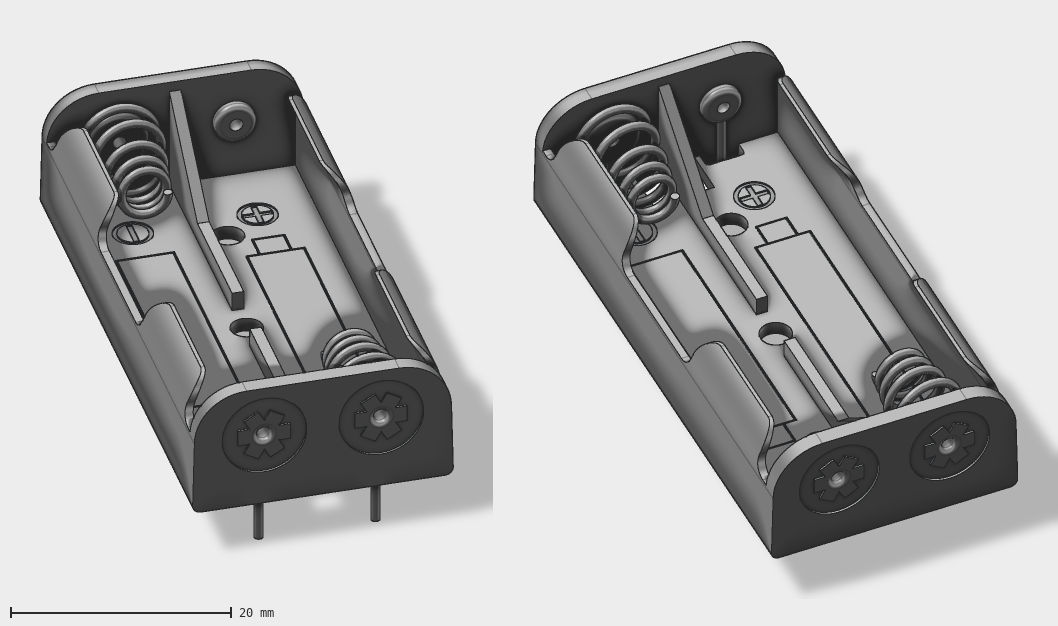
import cadquery as cq
import math


LENGTH = 52.3
BASE_WIDTH = 24.55
SHOULDER_WIDTH = 24.15
HEIGHT = 12.4
SHOULDER_RADIUS = 4.9
BOTTOM_FILLET = 0.8
END_WALL = 1.55
SIDE_WALL = 0.8
FLOOR = 1.35

SHOULDER_Z = HEIGHT - SHOULDER_RADIUS
SHOULDER_Y = SHOULDER_WIDTH / 2 - SHOULDER_RADIUS
INNER_END = LENGTH / 2 - END_WALL
INNER_HALF_WIDTH = SHOULDER_WIDTH / 2 - SIDE_WALL

RIM_Z = 7.85
FLAP_Z = 11.6
FLAP_NEAR_X = 7.6
FLAP_FAR_X = 22.25
FLAP_FOOT_RADIUS = 1.6
FLAP_TIP_RADIUS = FLAP_Z - RIM_Z - FLAP_FOOT_RADIUS
FLAP_TIP_Y = 9.45

RIB_THICKNESS = 1.1
RIB_INNER_X = 3.05
RIB_BEND_X = 14.9
RIB_LOW_Z = 3.25
RIB_HIGH_Z = 11.4

MOUNT_HOLE_DIAMETER = 3.05
MOUNT_HOLE_X = 15.0
MOUNT_HOLE_Y = 2.35
WINDOW_START_X = 20.2
WINDOW_WIDTH = 6.05
PIN_SLOT_START_X = 23.1
PIN_SLOT_WIDTH = 3.85
PIN_SLOT_FILLET = 0.4

ENGRAVE_DEPTH = 0.15
ENGRAVE_WIDTH = 0.15
CELL_LENGTH = 25.1
CELL_WIDTH = 5.55
CELL_NUB_LENGTH = 2.65
CELL_NUB_WIDTH = 3.15
CELL_X = 1.2
CELL_Y = 5.8
MARK_X = 17.7
MARK_Y = 5.85
MARK_RING_OUTER = 1.9
MARK_RING_INNER = 1.45
MARK_BAR_LENGTH = 2.7
MARK_BAR_WIDTH = 0.5

AXIS_Y = 5.5
AXIS_Z = 7.3
RECESS_RADIUS = 4.0
RECESS_DEPTH = 0.25
SHANK_RADIUS = 1.15
BORE_RADIUS = 0.65
HEAD_THICKNESS = 0.95
HEAD_FILLET = 0.5
CONTACT_HEAD_RADIUS = 2.0
SEAT_HEAD_RADIUS = 2.9
PETAL_COUNT = 6
PETAL_REACH = 2.45
PETAL_WIDTH = 1.55
PETAL_THICKNESS = 0.2
SHANK_LENGTH = END_WALL - RECESS_DEPTH
FLARE_RADIUS = SHANK_RADIUS - BORE_RADIUS

WIRE_RADIUS = 0.4
PIN_DROP = 5.0
PIN_WALL_GAP = 0.05
PIN_OVERLAP = 0.65

HALF_TURN_ADVANCE = [0.6, 1.4, 1.8, 1.2, 1.05, 0.9, 0.9, 0.75, 0.65, 0.35]
TURN_RADIUS = [3.55, 3.55, 3.0, 2.5, 2.25, 2.1]
SPRING_TURNS = len(TURN_RADIUS) - 1
STEPS_PER_TURN = 8


def opposite(shape):
    """The same shape turned half a turn about the Z axis."""
    return shape.rotate((0, 0, 0), (0, 0, 1), 180)


def box_between(x_start, x_end, y_center, y_size, z_start, z_end):
    """Box given by its X and Z limits and by its centre and size along Y."""
    block = cq.Workplane("XY").box(x_end - x_start, y_size, z_end - z_start, centered=(False, True, False))
    return block.translate((x_start, y_center, z_start))


def tray_block():
    arc_mid_y = SHOULDER_Y + SHOULDER_RADIUS * math.sqrt(0.5)
    arc_mid_z = SHOULDER_Z + SHOULDER_RADIUS * math.sqrt(0.5)
    block = (
        cq.Workplane("YZ")
        .moveTo(-BASE_WIDTH / 2, 0)
        .lineTo(BASE_WIDTH / 2, 0)
        .lineTo(SHOULDER_WIDTH / 2, SHOULDER_Z)
        .threePointArc((arc_mid_y, arc_mid_z), (SHOULDER_Y, HEIGHT))
        .lineTo(-SHOULDER_Y, HEIGHT)
        .threePointArc((-arc_mid_y, arc_mid_z), (-SHOULDER_WIDTH / 2, SHOULDER_Z))
        .close()
        .extrude(LENGTH / 2, both=True)
    )
    return block.edges("|X and <Z").fillet(BOTTOM_FILLET)


def cavity():
    """Space for the cells, narrowing under the flaps to the opening between their tips."""
    rise = FLAP_Z - SHOULDER_Z
    inset = INNER_HALF_WIDTH - FLAP_TIP_Y
    curl_radius = (rise**2 + inset**2) / (2 * inset)
    half_angle = math.asin(rise / curl_radius) / 2
    curl_mid_y = INNER_HALF_WIDTH - curl_radius * (1 - math.cos(half_angle))
    curl_mid_z = SHOULDER_Z + curl_radius * math.sin(half_angle)
    return (
        cq.Workplane("YZ")
        .moveTo(-INNER_HALF_WIDTH, FLOOR)
        .lineTo(INNER_HALF_WIDTH, FLOOR)
        .lineTo(INNER_HALF_WIDTH, SHOULDER_Z)
        .threePointArc((curl_mid_y, curl_mid_z), (FLAP_TIP_Y, FLAP_Z))
        .lineTo(FLAP_TIP_Y, HEIGHT)
        .lineTo(-FLAP_TIP_Y, HEIGHT)
        .lineTo(-FLAP_TIP_Y, FLAP_Z)
        .threePointArc((-curl_mid_y, curl_mid_z), (-INNER_HALF_WIDTH, SHOULDER_Z))
        .close()
        .extrude(INNER_END, both=True)
    )


def flap_outline(x_start, x_end):
    """Region filled by the pair of flaps near one end, with flared feet and rounded tips."""
    foot = FLAP_FOOT_RADIUS
    tip = FLAP_TIP_RADIUS
    bend_z = RIM_Z + foot
    diagonal = math.sqrt(0.5)
    return (
        cq.Workplane("XZ")
        .moveTo(x_start - foot, RIM_Z)
        .threePointArc((x_start - foot + foot * diagonal, bend_z - foot * diagonal), (x_start, bend_z))
        .threePointArc((x_start + tip - tip * diagonal, bend_z + tip * diagonal), (x_start + tip, FLAP_Z))
        .lineTo(x_end - tip, FLAP_Z)
        .threePointArc((x_end - tip + tip * diagonal, bend_z + tip * diagonal), (x_end, bend_z))
        .threePointArc((x_end + foot - foot * diagonal, bend_z - foot * diagonal), (x_end + foot, RIM_Z))
        .close()
        .extrude(BASE_WIDTH, both=True)
    )


def rim_notches():
    """Everything above the side-wall rim between the end walls, except the flaps."""
    above_rim = box_between(-INNER_END, INNER_END, 0, 2 * BASE_WIDTH, RIM_Z, HEIGHT)
    end_flaps = flap_outline(FLAP_NEAR_X, FLAP_FAR_X)
    return above_rim.cut(end_flaps).cut(opposite(end_flaps))


def rib():
    """Divider at the +X end: a low wall that climbs as a gusset to the end wall."""
    return (
        cq.Workplane("XZ")
        .polyline(
            [
                (RIB_INNER_X, FLOOR),
                (INNER_END, FLOOR),
                (INNER_END, RIB_HIGH_Z),
                (RIB_BEND_X, RIB_LOW_Z),
                (RIB_INNER_X, RIB_LOW_Z),
            ]
        )
        .close()
        .extrude(RIB_THICKNESS / 2, both=True)
    )


def floor_openings():
    holes = (
        cq.Workplane("XY")
        .pushPoints([(-MOUNT_HOLE_X, MOUNT_HOLE_Y), (0, 0), (MOUNT_HOLE_X, -MOUNT_HOLE_Y)])
        .circle(MOUNT_HOLE_DIAMETER / 2)
        .extrude(FLOOR)
    )
    window = box_between(WINDOW_START_X, INNER_END, 0, WINDOW_WIDTH, 0, FLOOR)
    openings = holes.union(window)
    for side in (-1, 1):
        slot = box_between(PIN_SLOT_START_X, INNER_END, side * AXIS_Y, PIN_SLOT_WIDTH, 0, FLOOR)
        openings = openings.union(slot.edges("|Z and <X").fillet(PIN_SLOT_FILLET))
    return openings


def engraved_frame(x_center, y_center, length, width):
    """Shallow groove around a rectangle in the floor."""
    return (
        cq.Workplane("XY", origin=(x_center, y_center, FLOOR))
        .rect(length, width)
        .rect(length - 2 * ENGRAVE_WIDTH, width - 2 * ENGRAVE_WIDTH)
        .extrude(-ENGRAVE_DEPTH)
    )


def cell_engraving():
    """Outline of the +Y cell, its nub toward the contact at the -X end."""
    nub_x = CELL_X - CELL_LENGTH / 2 - CELL_NUB_LENGTH / 2 + ENGRAVE_WIDTH
    body = engraved_frame(CELL_X, CELL_Y, CELL_LENGTH, CELL_WIDTH)
    return body.union(engraved_frame(nub_x, CELL_Y, CELL_NUB_LENGTH, CELL_NUB_WIDTH))


def polarity_mark(x, y, positive):
    """Engraved ring around a plus or a minus."""
    floor_plane = cq.Workplane("XY", origin=(x, y, FLOOR))
    mark = floor_plane.circle(MARK_RING_OUTER).circle(MARK_RING_INNER).extrude(-ENGRAVE_DEPTH)
    mark = mark.union(floor_plane.rect(MARK_BAR_LENGTH, MARK_BAR_WIDTH).extrude(-ENGRAVE_DEPTH))
    if positive:
        mark = mark.union(floor_plane.rect(MARK_BAR_WIDTH, MARK_BAR_LENGTH).extrude(-ENGRAVE_DEPTH))
    return mark


def rivet_holes():
    """Outer recess and shank hole for both rivets in the -X end wall."""
    face = cq.Workplane("YZ", origin=(-LENGTH / 2, 0, 0)).pushPoints([(-AXIS_Y, AXIS_Z), (AXIS_Y, AXIS_Z)])
    return face.circle(RECESS_RADIUS).extrude(RECESS_DEPTH).union(face.circle(SHANK_RADIUS).extrude(END_WALL))


def make_housing():
    body = tray_block().cut(cavity()).cut(rim_notches())
    body = body.cut(floor_openings())
    half_features = [
        cell_engraving(),
        polarity_mark(-MARK_X, MARK_Y, True),
        polarity_mark(-MARK_X, -MARK_Y, False),
        rivet_holes(),
    ]
    for feature in half_features:
        body = body.cut(feature).cut(opposite(feature))
    return body.union(rib()).union(opposite(rib()))


def make_rivet(head_radius, y):
    """Hollow rivet through the -X end wall: round head inside, bent petals outside."""
    shank_end = -SHANK_LENGTH - PETAL_THICKNESS
    diagonal = math.sqrt(0.5)
    head_bend = head_radius - HEAD_FILLET
    head_step = HEAD_THICKNESS - HEAD_FILLET
    profile = (
        cq.Workplane("XY")
        .moveTo(HEAD_THICKNESS, BORE_RADIUS)
        .lineTo(HEAD_THICKNESS, head_bend)
        .threePointArc(
            (head_step + HEAD_FILLET * diagonal, head_bend + HEAD_FILLET * diagonal),
            (head_step, head_radius),
        )
        .lineTo(0, head_radius)
        .lineTo(0, SHANK_RADIUS)
        .lineTo(shank_end, SHANK_RADIUS)
        .threePointArc(
            (shank_end + FLARE_RADIUS - FLARE_RADIUS * diagonal, SHANK_RADIUS - FLARE_RADIUS * diagonal),
            (shank_end + FLARE_RADIUS, BORE_RADIUS),
        )
        .close()
    )
    rivet = profile.revolve(360, (0, 0, 0), (1, 0, 0))
    flare_clearance = cq.Workplane("YZ").circle(SHANK_RADIUS).extrude(shank_end)
    for index in range(PETAL_COUNT):
        petal = box_between(
            shank_end, -SHANK_LENGTH, PETAL_REACH / 2, PETAL_REACH, -PETAL_WIDTH / 2, PETAL_WIDTH / 2
        )
        petal = petal.cut(flare_clearance)
        rivet = rivet.union(petal.rotate((0, 0, 0), (1, 0, 0), index * 360 / PETAL_COUNT))
    return rivet.translate((-INNER_END, y, AXIS_Z))


def add_pin(rivet, head_radius, y):
    """Rivet at the +X end with a solder pin running down through the floor slot."""
    pin_top = AXIS_Z - head_radius + PIN_OVERLAP
    pin = (
        cq.Workplane("XY", origin=(INNER_END - PIN_WALL_GAP - WIRE_RADIUS, y, -PIN_DROP))
        .circle(WIRE_RADIUS)
        .extrude(PIN_DROP + pin_top)
    )
    return rivet.union(pin)


def coil_point(turns):
    """Wire centre after a number of turns, on a coil whose axis is X and base is at X = 0."""
    turn = min(int(turns), SPRING_TURNS - 1)
    half_turn = min(int(2 * turns), 2 * SPRING_TURNS - 1)
    advance = sum(HALF_TURN_ADVANCE[:half_turn]) + (2 * turns - half_turn) * HALF_TURN_ADVANCE[half_turn]
    radius = TURN_RADIUS[turn] + (turns - turn) * (TURN_RADIUS[turn + 1] - TURN_RADIUS[turn])
    angle = 2 * math.pi * turns
    return cq.Vector(WIRE_RADIUS + advance, radius * math.cos(angle), radius * math.sin(angle))


def make_spring():
    """Tapered coil spring around the seat at the -X end, wound right-handed."""
    last_step = STEPS_PER_TURN * SPRING_TURNS
    points = [coil_point(step / STEPS_PER_TURN) for step in range(last_step + 1)]
    path = cq.Edge.makeSpline(points)
    start_plane = cq.Plane(origin=path.startPoint(), xDir=(0, 1, 0), normal=path.tangentAt(0))
    wire_path = cq.Workplane(obj=cq.Wire.assembleEdges([path]))
    coil = cq.Workplane(start_plane).circle(WIRE_RADIUS).sweep(wire_path, isFrenet=True)
    return coil.translate((-INNER_END, -AXIS_Y, AXIS_Z))


housing = make_housing()

contact_rivet = make_rivet(CONTACT_HEAD_RADIUS, AXIS_Y)
seat_rivet = make_rivet(SEAT_HEAD_RADIUS, -AXIS_Y)
contact_pin_rivet = add_pin(opposite(contact_rivet), CONTACT_HEAD_RADIUS, -AXIS_Y)
seat_pin_rivet = add_pin(opposite(seat_rivet), SEAT_HEAD_RADIUS, AXIS_Y)

spring = make_spring()
springs = [spring, opposite(spring)]

bodies = [housing, contact_rivet, seat_rivet, contact_pin_rivet, seat_pin_rivet, *springs]
result = cq.Compound.makeCompound([body.val() for body in bodies])